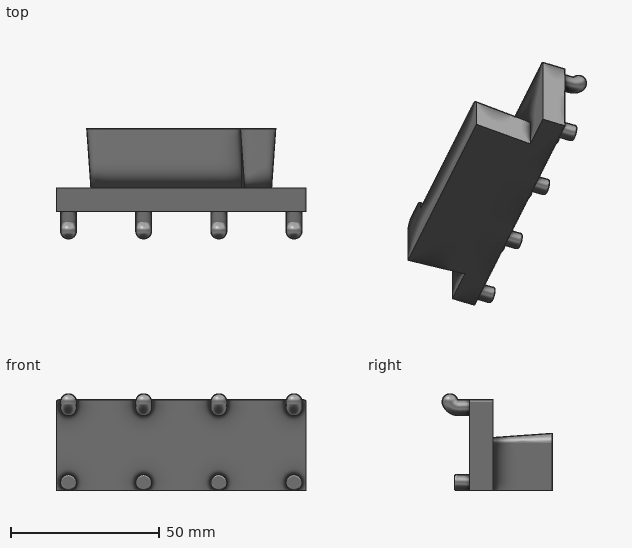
import cadquery as cq
import math

plate_width = 84.2
plate_height = 30.65
plate_thickness = 8.0
plate_corner_radius = 0.8

peg_diameter = 5.4
peg_radius = peg_diameter / 2
peg_count = 4
peg_pitch = 25.35
peg_straight = 3.5
bend_radius = 3.2
hook_angle = 68
hook_z = plate_height - peg_radius
stub_z = peg_radius
stub_bend_angle = 6
stub_length = 5.05
stub_tip_radius = 0.7

holder_depth = 20.0
draft_angle = 4
holder_width = 61.0
block_height = 12.8
tab_width = 9.1
tab_height = 17.9
outer_radius = 2.0
inner_radius = 1.0


def make_plate():
    """Plate with its front face on Y = 0 and its upper corners rounded."""
    plate = cq.Workplane("XY").box(
        plate_width, plate_thickness, plate_height, centered=(True, False, False)
    )
    return plate.edges("|Y and >Z").fillet(plate_corner_radius)


def drafted_block(left, right, height):
    """Rounded block on the back of the plate, drafted on its top and sides and flat underneath."""
    width = right - left
    whole = (
        cq.Workplane("XZ", origin=((left + right) / 2, plate_thickness, 0))
        .sketch()
        .rect(width, 2 * height)
        .vertices()
        .fillet(outer_radius)
        .finalize()
        .extrude(-holder_depth, taper=-draft_angle)
    )
    upper_half = cq.Workplane("XY").box(
        2 * plate_width, 4 * plate_width, 2 * plate_height, centered=(True, True, False)
    )
    return whole.intersect(upper_half)


def make_inner_fillet(tab_left):
    """Concave fillet between block and tab, shrinking to nothing as the draft closes it."""
    axis_x = tab_left - inner_radius
    axis_z = block_height + inner_radius
    length = inner_radius / math.tan(math.radians(draft_angle))
    filler_size = 2 * inner_radius
    filler = cq.Workplane("XY").box(filler_size, length, filler_size, centered=False)
    filler = filler.translate((axis_x, plate_thickness, axis_z - filler_size))
    hollow = cq.Workplane(
        cq.Solid.makeCone(
            inner_radius, 0, length, cq.Vector(axis_x, plate_thickness, axis_z), cq.Vector(0, 1, 0)
        )
    )
    return filler.cut(hollow)


def make_holder():
    right = holder_width / 2
    tab_left = right - tab_width
    block = drafted_block(-right, right, block_height)
    tab = drafted_block(tab_left, right, tab_height)
    return block.union(make_inner_fillet(tab_left)).union(tab)


def bend_end(angle):
    """Offset (Y, Z) from the plate face and peg axis to the end of an upward bend."""
    turn = math.radians(angle)
    return -peg_straight - bend_radius * math.sin(turn), bend_radius * (1 - math.cos(turn))


def make_bent_peg(x, z, angle):
    """Straight peg out of the plate followed by an upward bend."""
    straight = cq.Workplane("XZ", origin=(x, 0, z)).circle(peg_radius).extrude(peg_straight)
    bend = (
        cq.Workplane("XZ", origin=(x, -peg_straight, z))
        .circle(peg_radius)
        .revolve(angle, (0.8, bend_radius), (-0.8, bend_radius))
    )
    return straight.union(bend)


def make_hook(x):
    end_y, end_z = bend_end(hook_angle)
    ball = cq.Workplane("XY").sphere(peg_radius).translate((x, end_y, hook_z + end_z))
    return make_bent_peg(x, hook_z, hook_angle).union(ball)


def make_stub(x):
    """Slightly bent peg, cut parallel to the plate and rounded at its tip."""
    end_y, end_z = bend_end(stub_bend_angle)
    tip = cq.Workplane("XZ").circle(peg_radius).extrude(stub_length)
    tip = tip.rotate((0, 0, 0), (1, 0, 0), -stub_bend_angle).translate((x, end_y, stub_z + end_z))
    envelope = cq.Workplane("XZ", origin=(x, 0, stub_z)).circle(peg_diameter).extrude(stub_length)
    stub = make_bent_peg(x, stub_z, stub_bend_angle).union(tip).intersect(envelope)
    return stub.faces("<Y").edges().fillet(stub_tip_radius)


result = make_plate().union(make_holder())
for index in range(peg_count):
    peg_x = (index - (peg_count - 1) / 2) * peg_pitch
    result = result.union(make_hook(peg_x)).union(make_stub(peg_x))